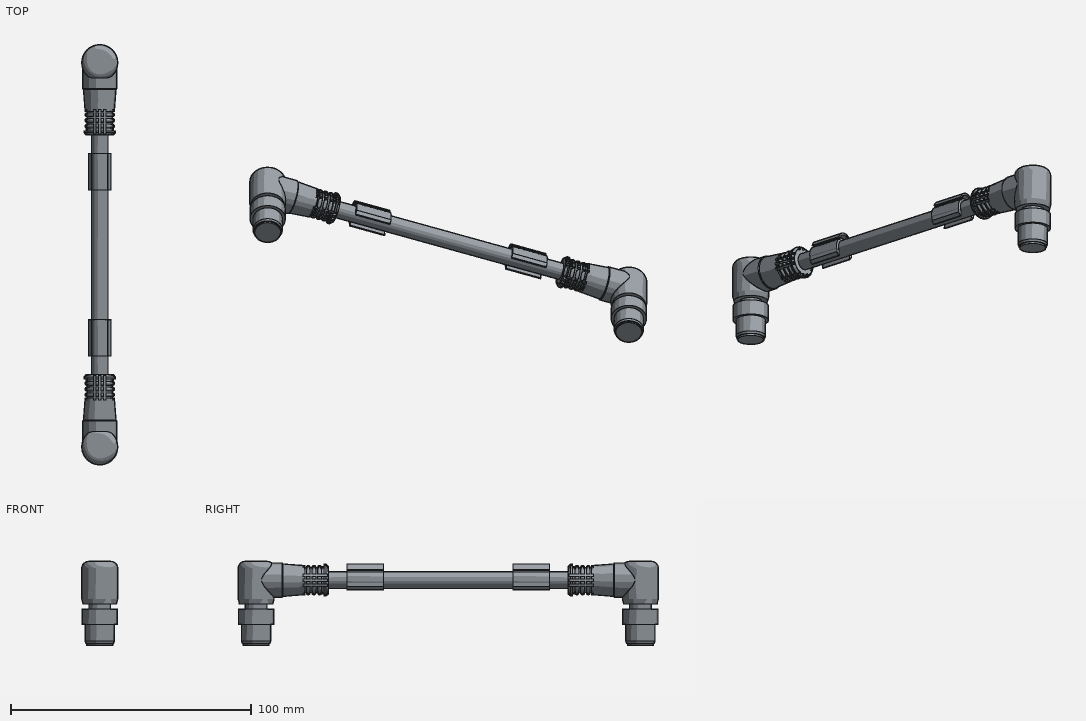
import cadquery as cq
import math

overall_length = 175.0
overall_height = 35.0
cable_radius = 3.5
axis_z = 27.1

head_radius = 7.5
head_rounding = 3.0
head_taper_z = 19.2
head_bottom_z = 17.2
head_bottom_radius = 7.0
neck_radius = 4.5
nut_radius = 7.4
nut_top_z = 15.0
nut_bottom_z = 8.8
plug_radius = 6.1
plug_chamfer_z = 1.8
tip_z = 0.79
plug_chamfer_radius = 5.8
tip_radius = 5.5

arm_radius = 7.2
arm_length = 10.8
arm_step = 0.4
cone_start_radius = arm_radius - arm_step
cone_end_radius = 6.1
cone_end = 20.3
arm_end = 30.1

core_radius = 5.2
ring_radius = 6.1
ring_width = 1.5
ring_gap = 0.79
ring_pitch = ring_width + ring_gap
ring_count = 3
first_ring = 21.7
collar_radius = 6.6
collar_foot_radius = 5.8
collar_foot = 27.3
collar_start = 28.4
collar_land = 0.7

slot_width = 1.0
slot_pitch = 2 * slot_width
slots_per_side = 3
slot_overrun = 0.7
slot_end_wall = 0.4
slot_start = cone_end - slot_overrun
slot_end = arm_end - slot_end_wall

clip_length = 15.2
clip_inner_y = 27.0
clip_centre_y = clip_inner_y + clip_length / 2
clip_radius = 4.7
clip_shoulder_z = 3.3
clip_wall_bottom_z = -1.31
lip_knee_z = -2.6
lip_tip_x = 3.5
lip_inner_x = 3.0
lip_bottom_z = -4.0
tube_radius = 3.3
tube_centre_z = 3.5
tube_bottom_z = 4.4
tube_wall = 0.9
neck_half_width = 2.6
tube_floor_z = 4.0

head_y = overall_length / 2 - head_radius


def make_head():
    """Head, neck, coupling nut and plug as one body revolved about Z."""
    corner = head_rounding * (1 - math.sqrt(0.5))
    profile = (
        cq.Workplane("XZ")
        .moveTo(0, 0)
        .lineTo(tip_radius, 0)
        .lineTo(tip_radius, tip_z)
        .lineTo(plug_chamfer_radius, tip_z)
        .lineTo(plug_radius, plug_chamfer_z)
        .lineTo(plug_radius, nut_bottom_z)
        .lineTo(nut_radius, nut_bottom_z)
        .lineTo(nut_radius, nut_top_z)
        .lineTo(neck_radius, nut_top_z)
        .lineTo(neck_radius, head_bottom_z)
        .lineTo(head_bottom_radius, head_bottom_z)
        .lineTo(head_radius, head_taper_z)
        .lineTo(head_radius, overall_height - head_rounding)
        .threePointArc(
            (head_radius - corner, overall_height - corner),
            (head_radius - head_rounding, overall_height),
        )
        .lineTo(0, overall_height)
        .close()
    )
    return profile.revolve(360, (0, 0), (0, 1))


def make_arm():
    """Arm, cone, rounded rings and end collar revolved about the cable axis, toward -Y."""
    profile = (
        cq.Workplane("XY")
        .moveTo(0, 0)
        .lineTo(arm_radius, 0)
        .lineTo(arm_radius, -arm_length)
        .lineTo(cone_start_radius, -arm_length - arm_step)
        .lineTo(cone_end_radius, -cone_end)
        .lineTo(core_radius, -cone_end)
    )
    for i in range(ring_count):
        centre = first_ring + i * ring_pitch
        profile = profile.lineTo(core_radius, -centre + ring_width / 2).threePointArc(
            (ring_radius, -centre), (core_radius, -centre - ring_width / 2)
        )
    profile = (
        profile.lineTo(core_radius, -collar_foot)
        .lineTo(collar_foot_radius, -collar_foot)
        .lineTo(collar_foot_radius, -collar_start)
        .lineTo(collar_radius, -collar_start)
        .lineTo(collar_radius, -collar_start - collar_land)
        .lineTo(collar_foot_radius, -arm_end)
        .lineTo(0, -arm_end)
        .close()
    )
    arm = profile.revolve(360, (0, 0), (0, 1))
    return arm.cut(make_slots()).translate((0, 0, axis_z))


def make_slots():
    """Parallel slots on four sides, cut down to the core of the strain relief."""
    length = slot_end - slot_start
    middle = (slots_per_side - 1) / 2
    centre_y = -(slot_start + slot_end) / 2
    across = 2 * arm_radius
    bars = cq.Workplane("XY")
    for i in range(slots_per_side):
        offset = (i - middle) * slot_pitch
        upright = cq.Workplane("XY").box(slot_width, length, across)
        level = cq.Workplane("XY").box(across, length, slot_width)
        bars = bars.union(upright.translate((offset, centre_y, 0)))
        bars = bars.union(level.translate((0, centre_y, offset)))
    core = cq.Workplane("XZ").circle(core_radius).extrude(arm_end)
    return bars.cut(core)


def make_connector():
    """One complete connector on the +Y end of the cable."""
    return make_head().union(make_arm()).translate((0, head_y, 0))


def make_clip(centre_y):
    """Marker clip: a shell gripping the cable, two lips below and an open label tube on top."""

    def slab(bottom, top):
        width = 4 * clip_radius
        return (
            cq.Workplane("XZ")
            .center(0, (bottom + top) / 2)
            .rect(width, top - bottom)
            .extrude(clip_length)
        )

    wall_bottom_x = math.sqrt(clip_radius**2 - clip_wall_bottom_z**2)
    cable_side_x = math.sqrt(cable_radius**2 - clip_wall_bottom_z**2)

    shell = cq.Workplane("XZ").circle(clip_radius).extrude(clip_length)
    shell = shell.intersect(slab(clip_wall_bottom_z, clip_shoulder_z))

    neck = (
        cq.Workplane("XZ")
        .center(0, (clip_shoulder_z + tube_bottom_z) / 2)
        .rect(2 * neck_half_width, tube_bottom_z - clip_shoulder_z)
        .extrude(clip_length)
    )

    tube = cq.Workplane("XZ").center(0, tube_centre_z).circle(tube_radius).extrude(clip_length)
    tube = tube.intersect(slab(tube_bottom_z, tube_centre_z + tube_radius))
    bore = (
        cq.Workplane("XZ")
        .center(0, tube_centre_z)
        .circle(tube_radius - tube_wall)
        .extrude(clip_length)
        .intersect(slab(tube_floor_z, tube_centre_z + tube_radius))
    )

    lip = (
        cq.Workplane("XZ")
        .polyline(
            [
                (cable_side_x, clip_wall_bottom_z),
                (wall_bottom_x, clip_wall_bottom_z),
                (wall_bottom_x, lip_knee_z),
                (lip_tip_x, lip_bottom_z),
                (lip_inner_x, lip_bottom_z),
                (cable_side_x, lip_knee_z),
            ]
        )
        .close()
        .extrude(clip_length)
    )

    clip = shell.union(neck).union(tube).cut(bore).union(lip).union(lip.mirror("YZ"))
    return clip.translate((0, centre_y + clip_length / 2, axis_z))


connector = make_connector()
opposite_connector = connector.rotate((0, 0, 0), (0, 0, 1), 180)

cable = (
    cq.Workplane("XZ")
    .center(0, axis_z)
    .circle(cable_radius)
    .extrude(head_y, both=True)
)

result = (
    cable.union(connector)
    .union(opposite_connector)
    .union(make_clip(clip_centre_y))
    .union(make_clip(-clip_centre_y))
)